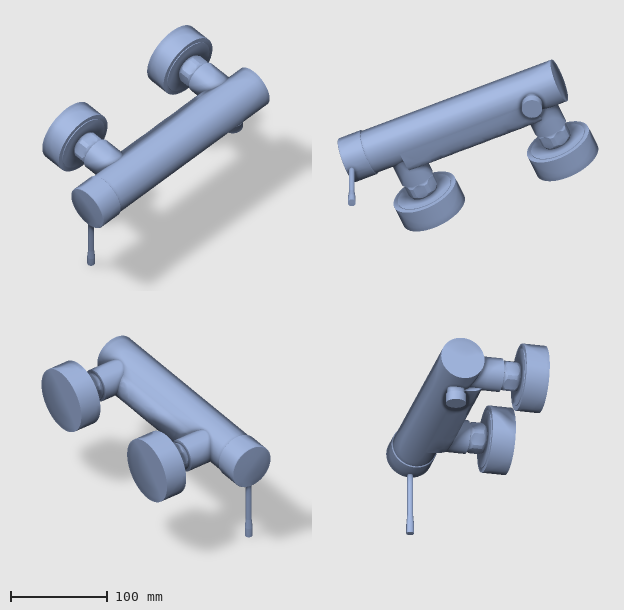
import cadquery as cq
import math

tube_d = 46.0
tube_back_y = 105.6
tube_front_y = -108.3

connection_y = 75.0
stub_d = 35.0
stub_x = -47.2

nut_flats = 30.0
nut_corner_d = 32.5
nut_length = 17.5
nut_band_length = 10.3
nut_end_d = 28.9
nut_gap = 0.7
neck_d = 26.5

plate_d = 70.0
plate_thickness = 24.5
plate_x = -91.2
lip_d = 59.7
lip_thickness = 0.7

bridge_shoulder = (-22.3, 10.8)
bridge_bulge = (-31.5, -6.0)
bridge_underside = (-27.0, -17.9)
bridge_tail = (-12.7, -22.3)

outlet_neck_d = 18.0
outlet_collar_d = 21.0
outlet_collar_z = -28.0
outlet_bottom_z = -37.7

cap_d = 48.5
cap_edge_y = -133.5
cap_chamfer = 0.5
dome_height = 1.0
lever_y = -128.0
lever_d = 6.0
grip_d = 8.0
taper_top_z = -69.5
grip_top_z = -80.2
grip_bottom_z = -91.0


def rod_x(diameter, start_x, end_x, y):
    """Round bar along X between two X positions."""
    return cq.Workplane("YZ", origin=(start_x, y, 0)).circle(diameter / 2).extrude(end_x - start_x)


def rod_z(diameter, start_z, end_z, y):
    """Round bar along Z between two Z positions."""
    return cq.Workplane("XY", origin=(0, y, start_z)).circle(diameter / 2).extrude(end_z - start_z)


def make_nut(y, turn):
    """Hexagon nut with rounded corners and conical ends, turned about its axis."""
    end_x = stub_x - nut_gap
    mid_x = end_x - nut_length / 2
    corner_to_corner = nut_flats / math.cos(math.pi / 6)
    hexagon = (
        cq.Workplane("YZ", origin=(mid_x, 0, 0))
        .polygon(6, corner_to_corner)
        .extrude(nut_length / 2, both=True)
        .rotate((0, 0, 0), (1, 0, 0), turn)
    )
    envelope = (
        cq.Workplane("XY")
        .moveTo(mid_x - nut_length / 2, 0)
        .lineTo(mid_x - nut_length / 2, nut_end_d / 2)
        .lineTo(mid_x - nut_band_length / 2, nut_corner_d / 2)
        .lineTo(mid_x + nut_band_length / 2, nut_corner_d / 2)
        .lineTo(mid_x + nut_length / 2, nut_end_d / 2)
        .lineTo(mid_x + nut_length / 2, 0)
        .close()
        .revolve(360, (0, 0, 0), (1, 0, 0))
    )
    return hexagon.intersect(envelope).translate((0, y, 0))


def make_connection(y, nut_turn):
    """Wall plate, lip, neck, nut and the stub that runs into the tube."""
    plate_end_x = plate_x + plate_thickness
    plate = rod_x(plate_d, plate_x, plate_end_x, y)
    lip = rod_x(lip_d, plate_end_x, plate_end_x + lip_thickness, y)
    neck = rod_x(neck_d, plate_end_x, stub_x, y)
    stub = rod_x(stub_d, stub_x, 0, y)
    return plate.union(lip).union(neck).union(make_nut(y, nut_turn)).union(stub)


def make_bridge():
    """Fairing whose top edge starts where the stubs meet the tube."""
    top_z = stub_d / 2
    top_x = -math.sqrt((tube_d / 2) ** 2 - top_z**2)
    tube_bottom = (0, -tube_d / 2)
    return (
        cq.Workplane("XZ", origin=(0, connection_y, 0))
        .moveTo(top_x, top_z)
        .lineTo(*bridge_shoulder)
        .spline([bridge_bulge, bridge_underside, bridge_tail, tube_bottom], includeCurrent=True)
        .lineTo(0, 0)
        .close()
        .extrude(2 * connection_y)
    )


def make_outlet():
    neck = rod_z(outlet_neck_d, 0, outlet_collar_z, connection_y)
    collar = rod_z(outlet_collar_d, outlet_collar_z, outlet_bottom_z, connection_y)
    return neck.union(collar)


def make_valve_body():
    tube = (
        cq.Workplane("XZ", origin=(0, tube_back_y, 0))
        .circle(tube_d / 2)
        .extrude(tube_back_y - tube_front_y)
    )
    body = tube.union(make_bridge()).union(make_outlet())
    for y, nut_turn in ((-connection_y, 0), (connection_y, 30)):
        body = body.union(make_connection(y, nut_turn))
    return body


def make_cap():
    """Round cap with a chamfered rim and a slightly domed face."""
    radius = cap_d / 2
    face_radius = radius - cap_chamfer
    dome_radius = (face_radius**2 + dome_height**2) / (2 * dome_height)
    mid_radius = face_radius / 2
    mid_rise = math.sqrt(dome_radius**2 - mid_radius**2) - (dome_radius - dome_height)
    return (
        cq.Workplane("XY")
        .moveTo(0, tube_front_y)
        .lineTo(face_radius, tube_front_y)
        .lineTo(radius, tube_front_y - cap_chamfer)
        .lineTo(radius, cap_edge_y + cap_chamfer)
        .lineTo(face_radius, cap_edge_y)
        .threePointArc((mid_radius, cap_edge_y - mid_rise), (0, cap_edge_y - dome_height))
        .close()
        .revolve(360, (0, 0, 0), (0, 1, 0))
    )


def make_lever():
    """Thin rod that widens through a taper into a short grip."""
    rod = rod_z(lever_d, 0, taper_top_z, lever_y)
    taper = (
        cq.Workplane("XY", origin=(0, lever_y, taper_top_z))
        .circle(lever_d / 2)
        .workplane(offset=grip_top_z - taper_top_z)
        .circle(grip_d / 2)
        .loft()
    )
    grip = rod_z(grip_d, grip_top_z, grip_bottom_z, lever_y)
    return rod.union(taper).union(grip)


valve_body = make_valve_body()
handle = make_cap().union(make_lever())

result = cq.Compound.makeCompound([valve_body.val(), handle.val()])